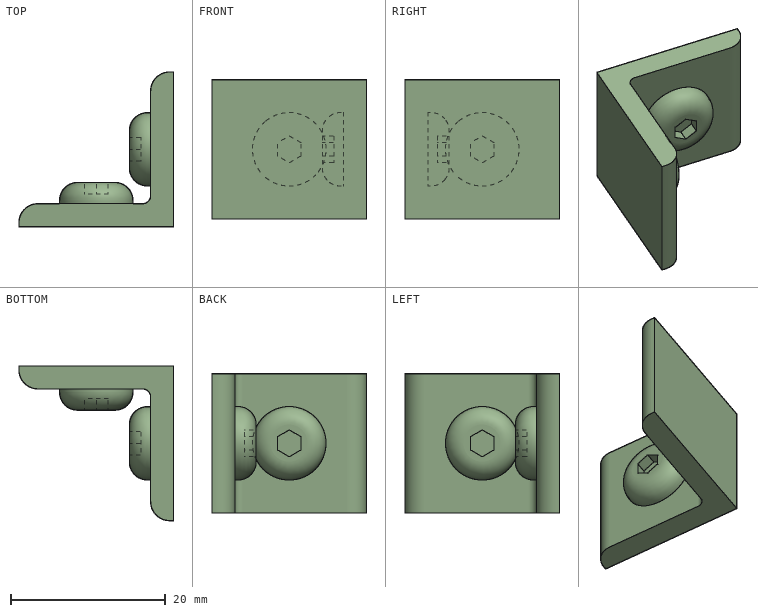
import cadquery as cq
import math

leg_length = 20.0
leg_thickness = 3.0
height = 18.0
tip_radius = 2.5
corner_radius = 1.0

head_diameter = 9.5
head_height = 2.75
rim_height = 0.38
socket_flats = 3.0
socket_depth = 1.5
embed = 0.2

dome_radius = head_height - rim_height
leg_middle = leg_length / 2


def make_bracket():
    """L-section with its outer corner at X = leg_length, Y = 0."""
    inner_x = leg_length - leg_thickness
    profile = (
        cq.Workplane("XY")
        .polyline([
            (0, 0),
            (leg_length, 0),
            (leg_length, leg_length),
            (inner_x, leg_length),
            (inner_x, leg_thickness),
            (0, leg_thickness),
        ])
        .close()
        .extrude(height)
    )
    nearest = cq.selectors.NearestToPointSelector
    bracket = profile.edges(nearest((0, leg_thickness, height / 2))).fillet(tip_radius)
    bracket = bracket.edges(nearest((inner_x, leg_length, height / 2))).fillet(tip_radius)
    return bracket.edges(nearest((inner_x, leg_thickness, height / 2))).fillet(corner_radius)


def make_head(seat):
    """Domed head with a hex socket, standing on the origin of the seat plane."""
    head = (
        cq.Workplane(seat)
        .workplane(offset=-embed)
        .circle(head_diameter / 2)
        .extrude(head_height + embed)
        .faces(cq.selectors.DirectionMinMaxSelector(seat.zDir))
        .edges()
        .fillet(dome_radius)
    )
    socket_corners = socket_flats / math.cos(math.pi / 6)
    socket = (
        cq.Workplane(seat)
        .workplane(offset=head_height - socket_depth)
        .polygon(6, socket_corners)
        .extrude(socket_depth)
    )
    return head.cut(socket)


vertical = (0, 0, 1)
front_seat = cq.Plane(
    origin=(leg_middle, leg_thickness, height / 2), xDir=vertical, normal=(0, 1, 0)
)
side_seat = cq.Plane(
    origin=(leg_length - leg_thickness, leg_middle, height / 2), xDir=vertical, normal=(-1, 0, 0)
)

result = make_bracket()
for seat_plane in (front_seat, side_seat):
    result = result.union(make_head(seat_plane))